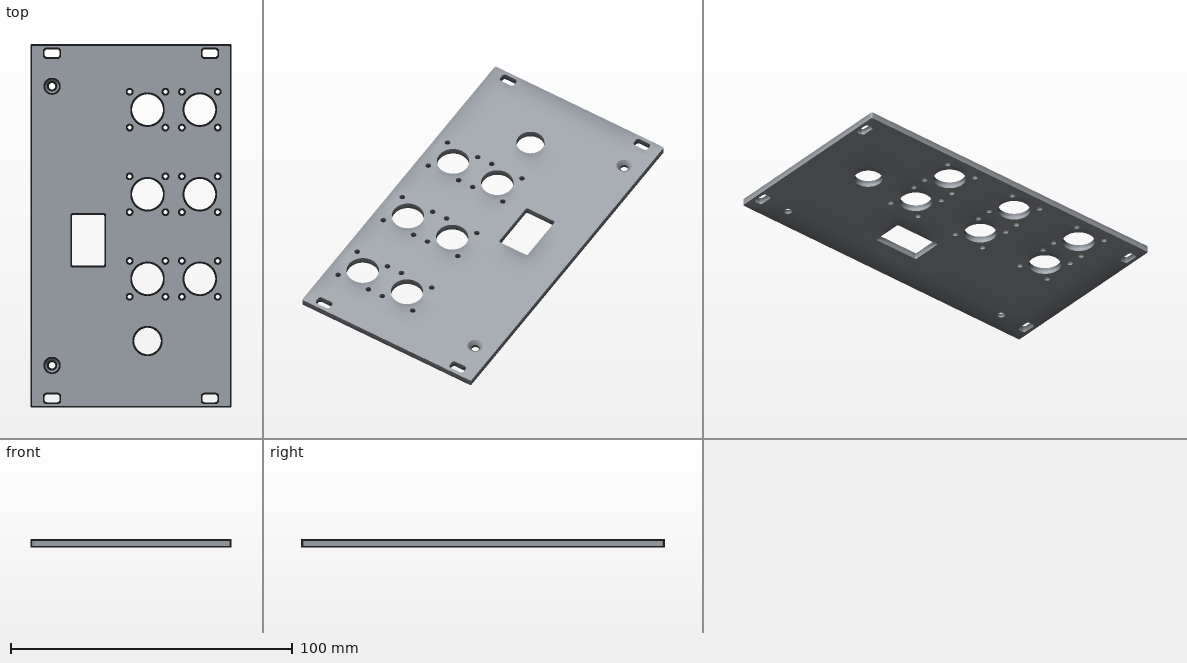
import cadquery as cq

PANEL_WIDTH = 70.78
PANEL_HEIGHT = 128.4
PANEL_THICKNESS = 2.5
PANEL_CORNER_RADIUS = 0.5

SLOT_LENGTH = 5.8
SLOT_WIDTH = 3.3
SLOT_CORNER_RADIUS = 1.0
SLOT_EDGE_OFFSET = 3.0
SLOT_PITCH_X = 56.0
SLOT_LEFT_X = (PANEL_WIDTH - SLOT_PITCH_X) / 2

SCREW_HOLE_DIAMETER = 2.9
COUNTERSINK_DIAMETER = 5.5
COUNTERSINK_ANGLE = 90.0
SCREW_EDGE_OFFSET = 14.7

SOCKET_DIAMETER = 11.5
SOCKET_COLUMNS = 2
SOCKET_ROWS = 3
SOCKET_LEFT_X = 41.25
SOCKET_PITCH_X = 18.55
SOCKET_TOP_OFFSET = 23.0
SOCKET_PITCH_Y = 30.0
FIXING_HOLE_DIAMETER = 2.01
FIXING_HOLE_PITCH = 12.7

ROUND_HOLE_DIAMETER = 10.0
ROUND_HOLE_TOP_OFFSET = 105.05

WINDOW_WIDTH = 11.95
WINDOW_HEIGHT = 18.55
WINDOW_CORNER_RADIUS = 0.55
WINDOW_LEFT_X = 14.25
WINDOW_TOP_OFFSET = 60.05


def on_front_face(panel):
    """Workplane on the front face with its origin at the lower-left corner."""
    return panel.faces(">Z").workplane(origin=(0, 0, PANEL_THICKNESS))


def cut_rounded_rectangles(panel, centres, width, height, corner_radius):
    """Cut a rectangle with rounded corners through the panel at each centre."""
    outline = cq.Sketch().rect(width, height).vertices().fillet(corner_radius)
    return on_front_face(panel).pushPoints(centres).placeSketch(outline).cutThruAll()


def cut_mounting_slots(panel):
    centres = [
        (x, y)
        for x in (SLOT_LEFT_X, SLOT_LEFT_X + SLOT_PITCH_X)
        for y in (SLOT_EDGE_OFFSET, PANEL_HEIGHT - SLOT_EDGE_OFFSET)
    ]
    return cut_rounded_rectangles(panel, centres, SLOT_LENGTH, SLOT_WIDTH, SLOT_CORNER_RADIUS)


def cut_screw_holes(panel):
    centres = [
        (SLOT_LEFT_X, SCREW_EDGE_OFFSET),
        (SLOT_LEFT_X, PANEL_HEIGHT - SCREW_EDGE_OFFSET),
    ]
    return (
        on_front_face(panel)
        .pushPoints(centres)
        .cskHole(SCREW_HOLE_DIAMETER, COUNTERSINK_DIAMETER, COUNTERSINK_ANGLE)
    )


def cut_sockets(panel):
    socket_centres = [
        (
            SOCKET_LEFT_X + column * SOCKET_PITCH_X,
            PANEL_HEIGHT - SOCKET_TOP_OFFSET - row * SOCKET_PITCH_Y,
        )
        for column in range(SOCKET_COLUMNS)
        for row in range(SOCKET_ROWS)
    ]
    half_pitch = FIXING_HOLE_PITCH / 2
    fixing_centres = [
        (x + dx, y + dy)
        for x, y in socket_centres
        for dx in (-half_pitch, half_pitch)
        for dy in (-half_pitch, half_pitch)
    ]
    panel = on_front_face(panel).pushPoints(socket_centres).hole(SOCKET_DIAMETER)
    return on_front_face(panel).pushPoints(fixing_centres).hole(FIXING_HOLE_DIAMETER)


def cut_round_hole(panel):
    centre = (SOCKET_LEFT_X, PANEL_HEIGHT - ROUND_HOLE_TOP_OFFSET)
    return on_front_face(panel).pushPoints([centre]).hole(ROUND_HOLE_DIAMETER)


def cut_window(panel):
    centre = (
        WINDOW_LEFT_X + WINDOW_WIDTH / 2,
        PANEL_HEIGHT - WINDOW_TOP_OFFSET - WINDOW_HEIGHT / 2,
    )
    return cut_rounded_rectangles(panel, [centre], WINDOW_WIDTH, WINDOW_HEIGHT, WINDOW_CORNER_RADIUS)


panel = cq.Workplane("XY").box(PANEL_WIDTH, PANEL_HEIGHT, PANEL_THICKNESS, centered=False)
panel = panel.edges("|Z").fillet(PANEL_CORNER_RADIUS)
panel = cut_mounting_slots(panel)
panel = cut_screw_holes(panel)
panel = cut_sockets(panel)
panel = cut_round_hole(panel)
panel = cut_window(panel)

result = panel